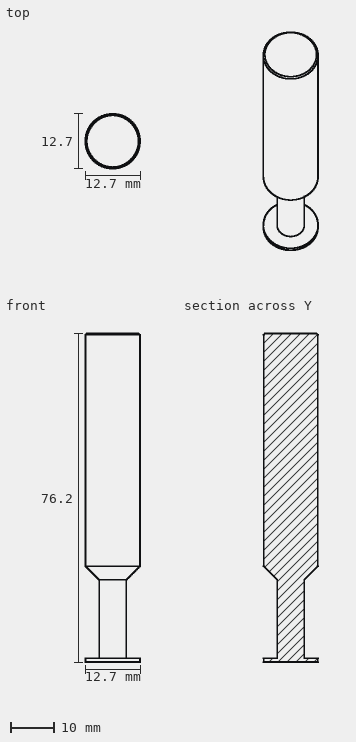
import cadquery as cq

total_height = 76.2
body_diameter = 12.7
stem_diameter = 6.3
flange_diameter = body_diameter
flange_thickness = 0.9
body_bottom = 22.25
top_chamfer = 0.4

body_radius = body_diameter / 2
stem_radius = stem_diameter / 2
shoulder_height = body_radius - stem_radius
shoulder_bottom = body_bottom - shoulder_height


def make_flange():
    """Thin disc at the foot of the stem."""
    return cq.Workplane("XY").circle(flange_diameter / 2).extrude(flange_thickness)


def make_stem():
    """Slim rod from the foot up to the shoulder."""
    return cq.Workplane("XY").circle(stem_radius).extrude(shoulder_bottom)


def make_body():
    """Round body with a conical shoulder below and a chamfered top rim."""
    half_profile = [
        (0, shoulder_bottom),
        (stem_radius, shoulder_bottom),
        (body_radius, body_bottom),
        (body_radius, total_height),
        (0, total_height),
    ]
    body = cq.Workplane("XZ").polyline(half_profile).close().revolve(360, (0, 0), (0, 1))
    return body.faces(">Z").edges().chamfer(top_chamfer)


result = make_flange().union(make_stem()).union(make_body())